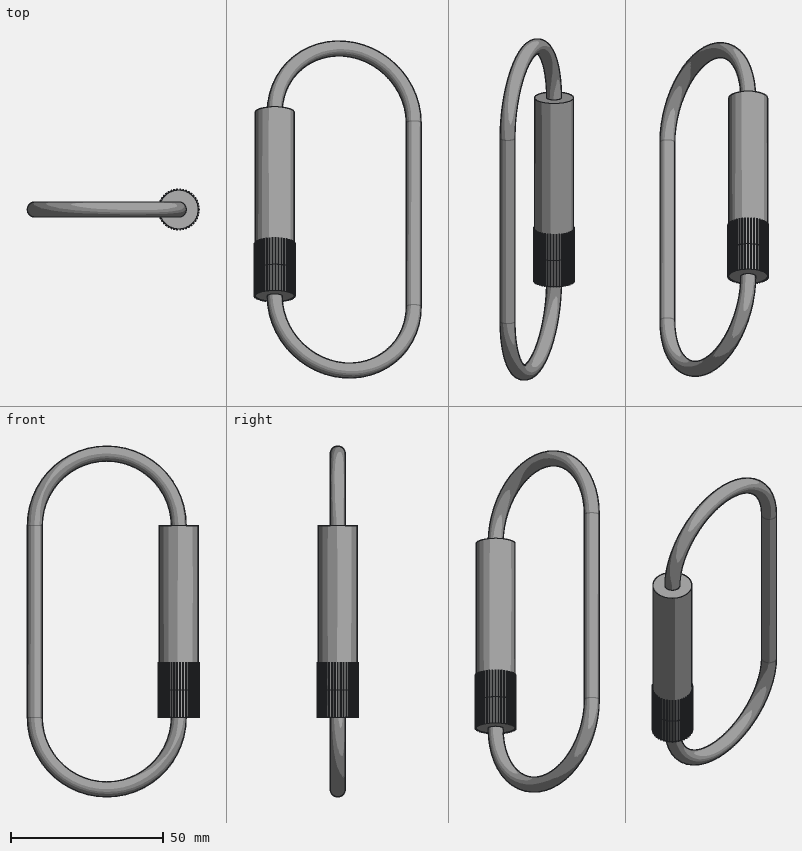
import cadquery as cq

wire_radius = 2.5
bend_radius = 23.625
straight_length = 63.0

lock_radius = 6.425
grip_length = 9.0
barrel_length = straight_length - grip_length

ridge_count = 42
ridge_width = 0.3
ridge_tip_radius = 6.75
ridge_overlap = 0.2
ridge_base_radius = lock_radius - ridge_overlap

half_straight = straight_length / 2
lock_x = bend_radius
collar_bottom = -half_straight
barrel_bottom = collar_bottom + grip_length


def make_wire():
    """Wire from the top of the lock, around the left side, to the bottom of the lock."""
    bend_end = half_straight + bend_radius
    path = (
        cq.Workplane("XZ")
        .moveTo(bend_radius, half_straight)
        .threePointArc((0, bend_end), (-bend_radius, half_straight))
        .lineTo(-bend_radius, -half_straight)
        .threePointArc((0, -bend_end), (bend_radius, -half_straight))
    )
    section = cq.Workplane("XY", origin=(bend_radius, 0, half_straight)).circle(wire_radius)
    return section.sweep(path)


def make_ridges(bottom):
    """Ring of straight lengthwise ridges, trimmed to a round outside."""
    floor = cq.Workplane("XY", origin=(lock_x, 0, bottom))
    envelope = floor.circle(ridge_tip_radius).extrude(grip_length)
    block_end_radius = ridge_tip_radius + ridge_width
    block_depth = block_end_radius - ridge_base_radius
    block_center_radius = (block_end_radius + ridge_base_radius) / 2
    blocks = (
        floor.polarArray(block_center_radius, 0, 360, ridge_count)
        .rect(block_depth, ridge_width)
        .extrude(grip_length)
    )
    return blocks.intersect(envelope)


def make_lock_part(bottom, length):
    """Round bar with a ridged grip at its lower end."""
    bar = cq.Workplane("XY", origin=(lock_x, 0, bottom)).circle(lock_radius).extrude(length)
    return bar.union(make_ridges(bottom)).solids()


wire = make_wire()
barrel = make_lock_part(barrel_bottom, barrel_length)
collar = make_lock_part(collar_bottom, grip_length)

result = cq.Compound.makeCompound([wire.val(), barrel.val(), collar.val()])